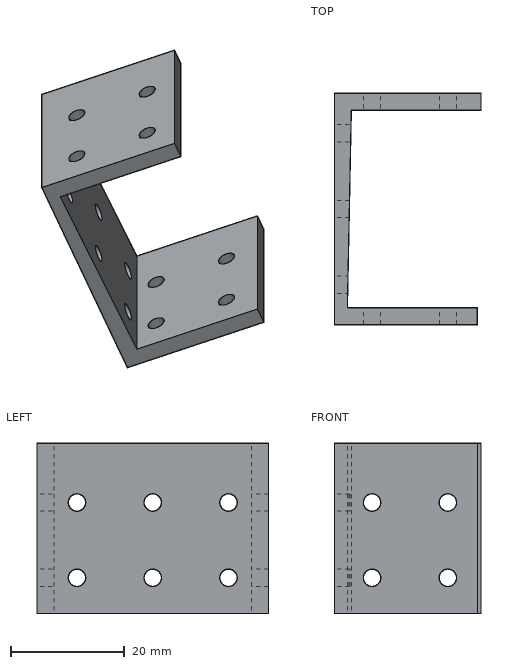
import cadquery as cq

width_y = 40.75
height = 30.0
back_length = 25.85
front_length = 25.15

flange_thickness = 3.0
web_back_thickness = 3.0
web_front_thickness = web_back_thickness - (back_length - front_length)

hole_diameter = 3.0
hole_pitch = 13.33
row_pitch = 13.25
lower_row_z = 6.3
flange_first_hole_x = 6.65
web_first_hole_y = width_y / 2 - hole_pitch
row_heights = [lower_row_z, lower_row_z + row_pitch]


def channel():
    """U-shaped bracket, open towards +X, with its outer corner at the origin."""
    outline = [
        (0, 0),
        (front_length, 0),
        (front_length, flange_thickness),
        (web_front_thickness, flange_thickness),
        (web_back_thickness, width_y - flange_thickness),
        (back_length, width_y - flange_thickness),
        (back_length, width_y),
        (0, width_y),
    ]
    return cq.Workplane("XY").polyline(outline).close().extrude(height)


def flange_holes():
    """Drills along Y through both flanges."""
    centers = [(flange_first_hole_x + i * hole_pitch, z) for i in range(2) for z in row_heights]
    drills = cq.Workplane("XZ").pushPoints(centers).circle(hole_diameter / 2)
    return drills.extrude(-width_y)


def web_holes():
    """Drills along X through the web."""
    centers = [(web_first_hole_y + i * hole_pitch, z) for i in range(3) for z in row_heights]
    drills = cq.Workplane("YZ").pushPoints(centers).circle(hole_diameter / 2)
    return drills.extrude(web_back_thickness)


result = channel().cut(flange_holes()).cut(web_holes())